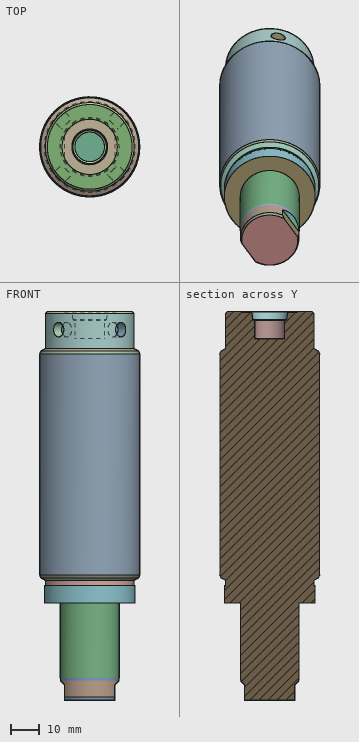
import cadquery as cq
import math

length = 134.6

body_radius = 17.4
shoulder_radius = 17.0
shoulder_height = 1.0
cone_height = 1.0
body_bottom = 43.3
body_top = 120.0

cap_radius = 15.3
cap_chamfer = 0.7
neck_radius = 15.3
collar_radius = 15.8
collar_bottom = 33.7
collar_top = 39.7

stem_radius = 10.2
stem_bottom = 7.7
tip_radius = 10.1
tip_top = 6.9
tip_chamfer_height = 1.2
tip_chamfer_width = 0.4

flat_half_width = 8.8
flat_height = 5.4

recess_radius = 9.5
recess_depth = 0.3
bore_radius = 6.2
bore_floor_radius = 5.8
bore_depth = 2.8
seat_height = 0.4
inner_bore_radius = 5.1
inner_bore_depth = 9.4

spanner_diameter = 5.0
spanner_depth = 4.0
spanner_drop = 6.3
spanner_count = 4
spanner_start_angle = 45.0


def revolve_outline(outline):
    """Turn a closed (radius, height) outline about the Z axis."""
    return cq.Workplane("XZ").polyline(outline).close().revolve(360, (0, 0), (0, 1))


def turned_body():
    """Revolve the half outline, listed as (radius, height) from the bottom up."""
    lower_shoulder = body_bottom - shoulder_height
    upper_shoulder = body_top + shoulder_height
    outline = [
        (0, 0),
        (tip_radius - tip_chamfer_width, 0),
        (tip_radius, tip_chamfer_height),
        (tip_radius, tip_top),
        (stem_radius, stem_bottom),
        (stem_radius, collar_bottom),
        (collar_radius, collar_bottom),
        (collar_radius, collar_top),
        (neck_radius, collar_top),
        (neck_radius, lower_shoulder - cone_height),
        (shoulder_radius, lower_shoulder),
        (body_radius, body_bottom),
        (body_radius, body_top),
        (shoulder_radius, upper_shoulder),
        (cap_radius, upper_shoulder + cone_height),
        (cap_radius, length - cap_chamfer),
        (cap_radius - cap_chamfer, length),
        (0, length),
    ]
    return revolve_outline(outline)


def flat_cutter():
    """Material removed beside the +X flat, ending in a 45 degree run-out at the top."""
    reach = body_radius - flat_half_width
    return (
        cq.Workplane("XZ")
        .moveTo(flat_half_width, 0)
        .lineTo(flat_half_width, flat_height)
        .lineTo(flat_half_width + reach, flat_height + reach)
        .lineTo(flat_half_width + reach, 0)
        .close()
        .extrude(body_radius, both=True)
    )


def top_bore():
    """Shallow recess, tapered counterbore, conical seat and narrower blind bore, revolved as one cutter."""
    outline = [
        (0, length),
        (recess_radius, length),
        (recess_radius, length - recess_depth),
        (bore_radius, length - recess_depth),
        (bore_floor_radius, length - bore_depth),
        (inner_bore_radius, length - bore_depth - seat_height),
        (inner_bore_radius, length - inner_bore_depth),
        (0, length - inner_bore_depth),
    ]
    return revolve_outline(outline)


def spanner_hole(angle):
    """Blind radial hole drilled from the cap's side towards its axis."""
    direction = cq.Vector(math.cos(math.radians(angle)), math.sin(math.radians(angle)), 0)
    start = direction * (cap_radius - spanner_depth) + cq.Vector(0, 0, length - spanner_drop)
    drill_length = body_radius - cap_radius + spanner_depth
    return cq.Solid.makeCylinder(spanner_diameter / 2, drill_length, start, direction)


result = turned_body().cut(top_bore())

for turn in (0, 180):
    result = result.cut(flat_cutter().rotate((0, 0, 0), (0, 0, 1), turn))

for index in range(spanner_count):
    result = result.cut(spanner_hole(spanner_start_angle + index * 360 / spanner_count))